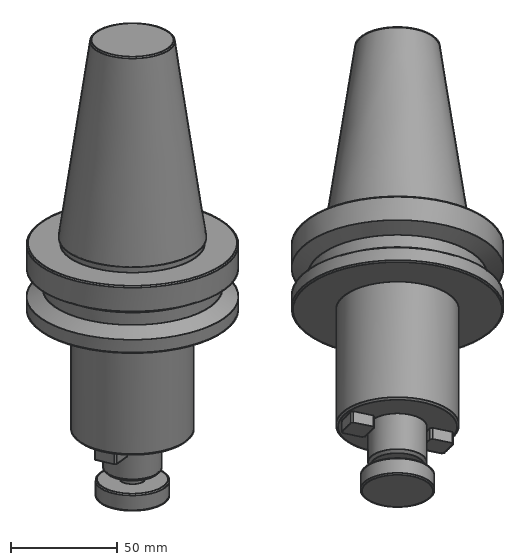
import cadquery as cq

total_height = 235.8
head_top = 9.0
pilot_bottom = 13.7
body_bottom = 34.0
flange_bottom = 96.0
groove_outer_bottom = 103.3
groove_inner_bottom = 107.5
groove_inner_top = 114.0
groove_outer_top = 118.0
flange_top = 130.9
taper_bottom = 134.0

head_radius = 17.5
neck_radius = 6.0
pilot_radius = 14.0
body_radius = 29.0
flange_radius = 50.0
groove_radius = 42.5
collar_radius = 34.2
taper_large_radius = 35.0
taper_small_radius = 20.0

small_chamfer = 0.7
pilot_chamfer = 1.5
body_chamfer = 1.0

key_size = 12.0
key_height = 6.0
key_center = 20.5
key_chamfer = 1.0
key_embed = 2.4


def disc(radius, bottom, top):
    """Cylinder on the Z axis between two heights."""
    return cq.Workplane("XY").workplane(offset=bottom).circle(radius).extrude(top - bottom)


def make_taper():
    profile = [
        (0, taper_bottom),
        (taper_large_radius, taper_bottom),
        (taper_small_radius, total_height - small_chamfer),
        (taper_small_radius - small_chamfer, total_height),
        (0, total_height),
    ]
    return cq.Workplane("XZ").polyline(profile).close().revolve(360, (0, 0), (0, 1))


def make_flange():
    """Flange with a gripper groove that has sloping walls."""
    profile = [
        (0, flange_bottom),
        (flange_radius, flange_bottom),
        (flange_radius, groove_outer_bottom),
        (groove_radius, groove_inner_bottom),
        (groove_radius, groove_inner_top),
        (flange_radius, groove_outer_top),
        (flange_radius, flange_top),
        (0, flange_top),
    ]
    flange = cq.Workplane("XZ").polyline(profile).close().revolve(360, (0, 0), (0, 1))
    return flange.faces("<Z or >Z").edges().chamfer(small_chamfer)


def make_drive_key(side):
    """Drive key that hangs below the body on the +Y or -Y side."""
    return (
        cq.Workplane("XY")
        .workplane(offset=body_bottom - key_height)
        .center(0, side * key_center)
        .rect(key_size, key_size)
        .extrude(key_height + key_embed)
        .edges("|Z")
        .chamfer(key_chamfer)
    )


collar = disc(collar_radius, flange_top, taper_bottom)
body = disc(body_radius, body_bottom, flange_bottom).faces("<Z").edges().chamfer(body_chamfer)
pilot = disc(pilot_radius, pilot_bottom, body_bottom).faces("<Z").edges().chamfer(pilot_chamfer)
neck = disc(neck_radius, head_top, pilot_bottom)
head = disc(head_radius, 0, head_top).faces("<Z or >Z").edges().chamfer(small_chamfer)

result = make_taper().union(collar).union(make_flange()).union(body).union(pilot).union(neck).union(head)
for side in (-1, 1):
    result = result.union(make_drive_key(side))